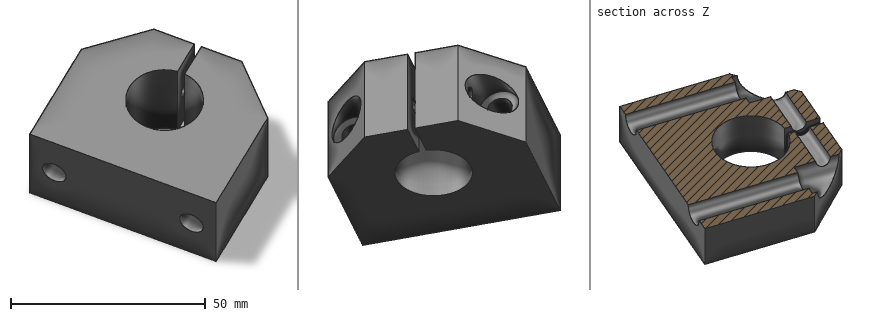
import cadquery as cq

width = 53.0
depth = 45.0
height = 24.0
corner_cut = 14.0
shoulder_y = depth - corner_cut

bore_diameter = 20.0
bore_y = 25.0
slit_width = 2.0

mount_spacing = 39.0
mount_diameter = 6.7
counterbore_diameter = 11.0
counterbore_floor_y = shoulder_y

clamp_diameter = 4.15
clamp_inset = 6.0


def make_block():
    half_width = width / 2
    outline = [
        (-half_width, 0),
        (half_width, 0),
        (half_width, shoulder_y),
        (half_width - corner_cut, depth),
        (corner_cut - half_width, depth),
        (-half_width, shoulder_y),
    ]
    return cq.Workplane("XY").polyline(outline).close().extrude(height)


def make_bore_and_slit():
    bore = cq.Workplane("XY").center(0, bore_y).circle(bore_diameter / 2).extrude(height)
    slit_length = depth - bore_y
    slit = cq.Workplane("XY").center(0, bore_y + slit_length / 2).rect(slit_width, slit_length).extrude(height)
    return bore.union(slit)


def make_cylinder_along_y(x, diameter, start_y):
    """Cylinder at mid-height running from start_y to the back of the block."""
    return cq.Workplane(
        cq.Plane(origin=(x, start_y, height / 2), xDir=(1, 0, 0), normal=(0, 1, 0))
    ).circle(diameter / 2).extrude(depth - start_y)


def make_mounting_hole(x):
    hole = make_cylinder_along_y(x, mount_diameter, 0)
    counterbore = make_cylinder_along_y(x, counterbore_diameter, counterbore_floor_y)
    return hole.union(counterbore)


def make_clamp_hole():
    return (
        cq.Workplane("YZ")
        .center(depth - clamp_inset, height / 2)
        .circle(clamp_diameter / 2)
        .extrude(width / 2, both=True)
    )


result = make_block().cut(make_bore_and_slit()).cut(make_clamp_hole())
for side in (-1, 1):
    result = result.cut(make_mounting_hole(side * mount_spacing / 2))